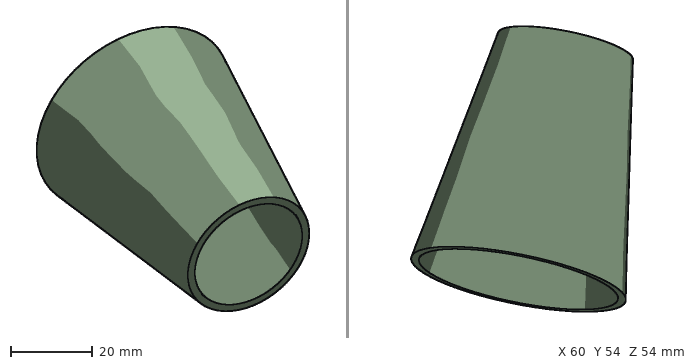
import cadquery as cq

length = 60.0
wide_outer_diameter = 54.0
narrow_outer_diameter = 34.0
wall = 2.0

wide_outer_radius = wide_outer_diameter / 2
narrow_outer_radius = narrow_outer_diameter / 2

wall_section = (
    cq.Workplane("XY")
    .moveTo(0, wide_outer_radius - wall)
    .lineTo(0, wide_outer_radius)
    .lineTo(length, narrow_outer_radius)
    .lineTo(length, narrow_outer_radius - wall)
    .close()
)

result = wall_section.revolve(360, (0, 0, 0), (1, 0, 0))